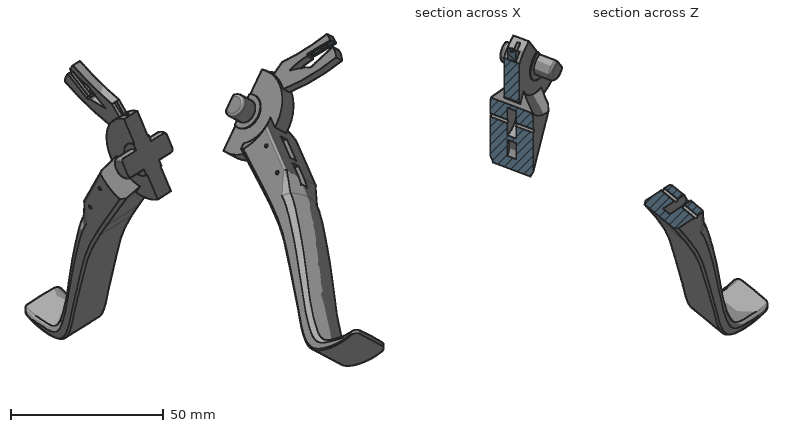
import cadquery as cq
import math


DISC_RADIUS = 15.0
DISC_WIDTH = 6.0
HUB_RADIUS = 6.0
HUB_WIDTH = 6.8
PIN_RADIUS = 4.0
PIN_LENGTH = 20.0
PIN_END_ROUND = 1.0
FLAT_OFFSET = 2.0
FLAT_ANGLE = 33.2

HANDLE_WIDTH = 16.6
SHOULDER_RADIUS = 11.2
SHANK_STATIONS = [
    ((-9.0, -2.65), (1.8, -10.2)),
    ((-20.6, -28.8), (-10.0, -32.8)),
]
BLADE_STATIONS = [
    ((-23.6, -36.8), (-13.4, -39.5)),
    ((-26.0, -45.2), (-17.5, -48.8)),
    ((-28.1, -56.5), (-20.3, -58.3)),
    ((-29.9, -69.5), (-23.2, -71.0)),
    ((-31.9, -82.5), (-25.9, -84.0)),
    ((-33.6, -88.6), (-27.4, -90.5)),
    ((-36.2, -93.6), (-30.7, -96.7)),
    ((-40.0, -95.0), (-36.0, -98.9)),
    ((-44.5, -95.4), (-43.5, -98.6)),
    ((-47.2, -95.2), (-46.9, -97.6)),
    ((-49.9, -94.9), (-49.9, -96.4)),
]
TIP_CORNER_ROUND = 2.4

BACK_BEVEL = 0.1
SHANK_FRONT_ROUND = 0.08
BLADE_CROWN = 0.19
BLADE_WIDEST = 0.68
SHANK_CROWN = 0.002

SHANK_INSET = 0.75
BLADE_INSET = 1.2

SLOT_CENTRES = [(-12.5, -18.0), (-17.1, -29.1)]
SLOT_RADIUS = 5.7
SLOT_WIDTH = 3.2
CROSS_HOLE_DIAMETER = 1.2

FORK_WIDTH = 3.2
SLOPE_TOP = (-13.8, 14.5)
SLOPE_FOOT = (-10.3, 11.2)
UPPER_TIP_CORNER = (-34.1, 16.5)
UPPER_CHANNEL_END = (-24.4, 14.4)
LOWER_TIP_CORNER = (-35.1, 13.8)
LOWER_CHANNEL_END = (-26.1, 9.2)
CHANNEL_DIAMETER = 1.1

WIRE_DIAMETER = 1.1
WIRE_BEND = (-10.5, 10.7)
WIRE_FORK_END = (-13.9, 14.2)
WIRE_DISC_END = (-8.0, 12.7)


def extrude_centred(sketch, width):
    return sketch.extrude(width / 2, both=True)


def cylinder_along_y(radius, length):
    return extrude_centred(cq.Workplane("XZ").circle(radius), length)


def rod(start, end, diameter):
    """Cylinder between two (x, z) points in the symmetry plane."""
    base = cq.Vector(start[0], 0, start[1])
    axis = cq.Vector(end[0], 0, end[1]) - base
    return cq.Workplane(obj=cq.Solid.makeCylinder(diameter / 2, axis.Length, base, axis))


def pivot():
    disc = cylinder_along_y(DISC_RADIUS, DISC_WIDTH)
    hub = cylinder_along_y(HUB_RADIUS, HUB_WIDTH)
    pin = cylinder_along_y(PIN_RADIUS, PIN_LENGTH).edges().fillet(PIN_END_ROUND)
    block_size = 4 * DISC_RADIUS
    beyond_flat = (
        cq.Workplane("XY")
        .box(block_size, block_size, block_size)
        .translate((FLAT_OFFSET + block_size / 2, 0, 0))
        .rotate((0, 0, 0), (0, 1, 0), -FLAT_ANGLE)
    )
    return disc.union(hub).union(pin).cut(beyond_flat)


def section(front, back, crown, widest, inset):
    """Closed wire across the handle: a crowned front, rounded front edges and a bevelled flat back."""
    origin = cq.Vector(front[0], 0, front[1])
    depth = cq.Vector(back[0], 0, back[1]) - origin
    thickness = depth.Length
    plane = cq.Plane(origin, xDir=depth, normal=depth.cross(cq.Vector(0, 1, 0)))
    side = HANDLE_WIDTH / 2
    bevel = BACK_BEVEL * thickness
    crown_edge = (crown * thickness, side - inset)
    widest_point = (widest * thickness, side)
    round_middle = (
        crown_edge[0] + (widest_point[0] - crown_edge[0]) * (1 - math.sqrt(0.5)),
        crown_edge[1] + inset * math.sqrt(0.5),
    )
    return (
        cq.Workplane(plane)
        .moveTo(crown_edge[0], -crown_edge[1])
        .threePointArc((0, 0), crown_edge)
        .threePointArc(round_middle, widest_point)
        .lineTo(thickness - bevel, side)
        .lineTo(thickness, side - bevel)
        .lineTo(thickness, bevel - side)
        .lineTo(thickness - bevel, -side)
        .lineTo(widest_point[0], -side)
        .threePointArc((round_middle[0], -round_middle[1]), (crown_edge[0], -crown_edge[1]))
        .close()
        .val()
    )


def plan_limit():
    """Tall block whose rounded corners shape the tip of the handle as seen along Z."""
    tip_x = BLADE_STATIONS[-1][0][0]
    height = 2 * abs(BLADE_STATIONS[-1][1][1])
    length = 2 * abs(tip_x)
    return (
        cq.Workplane("XY")
        .box(length, HANDLE_WIDTH, 2 * height)
        .edges("|Z")
        .fillet(TIP_CORNER_ROUND)
        .translate((tip_x + length / 2, 0, 0))
    )


def shoulder_cut():
    """Conical space that slopes the top of the handle down to the faces of the disc at 45 degrees."""
    face = DISC_WIDTH / 2
    rise = HANDLE_WIDTH / 2
    outer_radius = SHOULDER_RADIUS + rise
    cone = (
        cq.Workplane("XY")
        .polyline([(0, face), (SHOULDER_RADIUS, face), (outer_radius, face + rise), (0, face + rise)])
        .close()
        .revolve(360, (0, 0, 0), (0, 1, 0))
    )
    return cone.union(cone.mirror("XZ"))


def handle():
    shank_sections = [
        section(front, back, SHANK_CROWN, SHANK_FRONT_ROUND, SHANK_INSET) for front, back in SHANK_STATIONS
    ]
    blade_sections = [
        section(front, back, BLADE_CROWN, BLADE_WIDEST, BLADE_INSET) for front, back in BLADE_STATIONS
    ]
    shank = cq.Workplane(obj=cq.Solid.makeLoft(shank_sections, True))
    transition = cq.Workplane(obj=cq.Solid.makeLoft([shank_sections[-1], blade_sections[0]], True))
    blade = cq.Workplane(obj=cq.occ_impl.shapes.loft(blade_sections, cap=True, parametrization="chordal"))
    body = shank.union(transition).union(blade).intersect(plan_limit()).cut(shoulder_cut())
    for x, z in SLOT_CENTRES:
        slot = cylinder_along_y(SLOT_RADIUS, SLOT_WIDTH).translate((x, 0, z))
        cross_hole = cylinder_along_y(CROSS_HOLE_DIAMETER / 2, 2 * HANDLE_WIDTH).translate((x, 0, z))
        body = body.cut(slot).cut(cross_hole)
    return body


def wire():
    """Round wire bent into a V, partly sunk in the slope of the fork and in the rim of the disc."""
    bend = cq.Workplane("XY").sphere(WIRE_DIAMETER / 2).translate((WIRE_BEND[0], 0, WIRE_BEND[1]))
    fork_leg = rod(WIRE_BEND, WIRE_FORK_END, WIRE_DIAMETER)
    disc_leg = rod(WIRE_BEND, WIRE_DISC_END, WIRE_DIAMETER)
    return fork_leg.union(disc_leg).union(bend)


def fork():
    """Two-jawed fork that fits against the rim of the disc, with a cable channel along each jaw."""
    outline = (
        cq.Workplane("XZ")
        .moveTo(0, 0)
        .lineTo(*SLOPE_FOOT)
        .lineTo(*SLOPE_TOP)
        .threePointArc((-22.3, 16.0), (-32.7, 19.2))
        .lineTo(*UPPER_TIP_CORNER)
        .lineTo(*UPPER_CHANNEL_END)
        .lineTo(-24.4, 13.6)
        .threePointArc((-20.6, 12.4), (-17.0, 10.5))
        .lineTo(-24.0, 9.7)
        .lineTo(-25.2, 9.2)
        .lineTo(*LOWER_CHANNEL_END)
        .lineTo(*LOWER_TIP_CORNER)
        .threePointArc((-36.1, 11.8), (-36.6, 9.5))
        .threePointArc((-26.0, 6.2), (-14.3, 4.5))
        .close()
    )
    upper_channel = rod(UPPER_TIP_CORNER, UPPER_CHANNEL_END, CHANNEL_DIAMETER)
    lower_channel = rod(LOWER_TIP_CORNER, LOWER_CHANNEL_END, CHANNEL_DIAMETER)
    body = extrude_centred(outline, FORK_WIDTH).cut(cylinder_along_y(DISC_RADIUS, DISC_WIDTH))
    return body.cut(upper_channel).cut(lower_channel).cut(wire())


def lever():
    """Handle and pivot in one piece, with a groove for the wire in the rim of the disc."""
    return pivot().union(handle()).cut(wire())


result = cq.Compound.makeCompound([lever().val(), fork().val(), wire().val()])